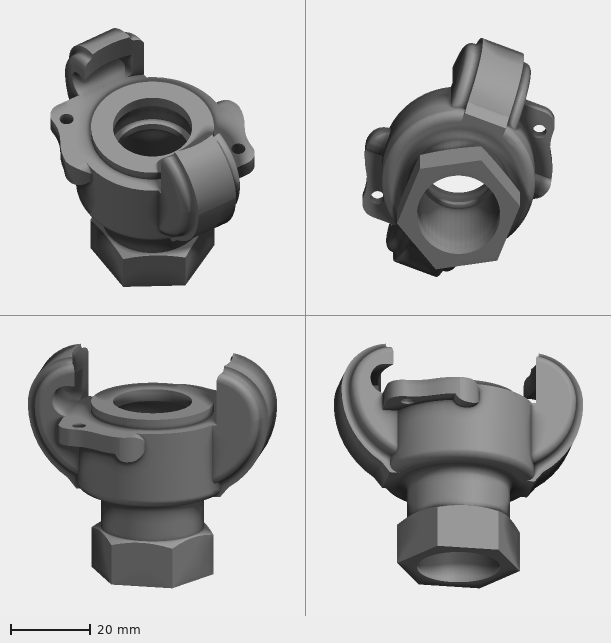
import cadquery as cq
import math

nut_height = 11.8
body_bottom = 22.3
shelf_level = 42.2
ring_top = 44.75
lug_bottom = 37.75

arc_middle = math.sqrt(0.5)

nut_sides = 6
nut_across_flats = 27.2
nut_chamfer_angle = 27.0
neck_diameter = 26.0
neck_fillet = 2.05
body_diameter = 38.6
body_fillet = 2.35
ring_diameter = 31.0

mouth_diameter = 20.0
mouth_depth = 3.1
groove_floor_diameter = 22.0
groove_diameter = 22.4
groove_bottom = 35.65
lip_bottom = 33.7
through_diameter = 18.6
tail_diameter = 21.0

jaw_reach = 30.95
jaw_axis_level = 44.0
jaw_upper_radius = 13.1
jaw_lower_radius = 22.8
shoulder_reach = 28.9
shoulder_upper_radius = 11.65
shoulder_lower_radius = 19.5
jaw_width = 17.7
ridge_width = 11.15
ridge_foot_x = 18.5
ridge_bend_x = 20.7
jaw_root_x = 15.5
ridge_hollow_radius = 1.35
jaw_opening_diameter = 40.6

pocket_height = 8.05
pocket_reach = 24.1
pocket_end_y = 6.25
pocket_corner_radius = 2.1
pocket_floor_fillet = 2.0

lug_side_x = 21.0
lug_corner_radius = 3.95
lug_valley_y = 19.05
lug_inflection = (9.95, 21.15)
lug_span = 47.0
lug_peak = (3.7, lug_span / 2)
lug_nose_radius = 5.9
lug_hole_diameter = 3.5
lug_hole_offset = 15.7
stop_height = 6.5
stop_inner_x = 1.05
stop_outer_x = 1.85


def turned_solid():
    """Neck, body and top ring, revolved about Z."""
    neck_r = neck_diameter / 2
    body_r = body_diameter / 2
    ring_r = ring_diameter / 2
    neck_arc_mid = (
        neck_r + neck_fillet * (1 - arc_middle),
        body_bottom - neck_fillet * (1 - arc_middle),
    )
    body_arc_mid = (
        body_r - body_fillet * (1 - arc_middle),
        body_bottom + body_fillet * (1 - arc_middle),
    )
    return (
        cq.Workplane("XZ")
        .moveTo(0, 0)
        .lineTo(neck_r, 0)
        .lineTo(neck_r, body_bottom - neck_fillet)
        .threePointArc(neck_arc_mid, (neck_r + neck_fillet, body_bottom))
        .lineTo(body_r - body_fillet, body_bottom)
        .threePointArc(body_arc_mid, (body_r, body_bottom + body_fillet))
        .lineTo(body_r, shelf_level)
        .lineTo(ring_r, shelf_level)
        .lineTo(ring_r, ring_top)
        .lineTo(0, ring_top)
        .close()
        .revolve(360, (0, 0, 0), (0, 1, 0))
    )


def nut():
    """Hexagon with corners on the X axis, its upper corners cut by a cone."""
    neck_r = neck_diameter / 2
    corner_diameter = nut_across_flats / math.cos(math.pi / nut_sides)
    hexagon = cq.Workplane("XY").polygon(nut_sides, corner_diameter).extrude(nut_height)
    slope = math.tan(math.radians(nut_chamfer_angle))
    cone_height = neck_r * slope
    base_r = neck_r + nut_height / slope
    cone = (
        cq.Workplane("XZ")
        .moveTo(0, 0)
        .lineTo(base_r, 0)
        .lineTo(0, nut_height + cone_height)
        .close()
        .revolve(360, (0, 0, 0), (0, 1, 0))
    )
    return hexagon.intersect(cone)


def shoulder_section(outer_r):
    """Section of a jaw shoulder in XY: X is minus the distance from the arc axis."""
    half_width = jaw_width / 2
    half_ridge = ridge_width / 2
    valley_y = half_ridge + ridge_hollow_radius
    rim_radius = half_width - valley_y
    hollow_mid = (
        -outer_r - ridge_hollow_radius * (1 - arc_middle),
        valley_y - ridge_hollow_radius * arc_middle,
    )
    rim_mid = (-outer_r + rim_radius * (1 - arc_middle), valley_y + rim_radius * arc_middle)
    return (
        cq.Workplane("XY")
        .moveTo(0, 0)
        .lineTo(-outer_r - ridge_hollow_radius, 0)
        .lineTo(-outer_r - ridge_hollow_radius, half_ridge)
        .threePointArc(hollow_mid, (-outer_r, valley_y))
        .threePointArc(rim_mid, (-outer_r + rim_radius, half_width))
        .lineTo(0, half_width)
        .close()
    )


def shoulders():
    """Both shoulders of the -X jaw: a quarter turn upward and a wider one downward."""
    upper = shoulder_section(shoulder_upper_radius).revolve(90, (0, 0, 0), (0, 1, 0))
    lower = shoulder_section(shoulder_lower_radius).revolve(90, (0, 0, 0), (0, -1, 0))
    upper = upper.translate((shoulder_upper_radius - shoulder_reach, 0, jaw_axis_level))
    lower = lower.translate((shoulder_lower_radius - shoulder_reach, 0, jaw_axis_level))
    half = upper.union(lower)
    return half.union(half.mirror("XZ"))


def ridge():
    """Middle ridge of the -X jaw, from over the body down to a straight foot."""
    upper_x = jaw_upper_radius - jaw_reach
    lower_x = jaw_lower_radius - jaw_reach
    sweep = math.acos((lower_x + ridge_bend_x) / jaw_lower_radius)
    upper_mid = (
        upper_x - jaw_upper_radius * arc_middle,
        jaw_axis_level + jaw_upper_radius * arc_middle,
    )
    lower_mid = (
        lower_x - jaw_lower_radius * math.cos(sweep / 2),
        jaw_axis_level - jaw_lower_radius * math.sin(sweep / 2),
    )
    return (
        cq.Workplane("XZ")
        .moveTo(-jaw_root_x, body_bottom)
        .lineTo(-jaw_root_x, jaw_axis_level + jaw_upper_radius)
        .lineTo(upper_x, jaw_axis_level + jaw_upper_radius)
        .threePointArc(upper_mid, (-jaw_reach, jaw_axis_level))
        .threePointArc(
            lower_mid,
            (-ridge_bend_x, jaw_axis_level - jaw_lower_radius * math.sin(sweep)),
        )
        .lineTo(-ridge_foot_x, body_bottom)
        .close()
        .extrude(ridge_width / 2, both=True)
    )


def jaw():
    """The -X jaw, hollowed for the mating half and with a pocket open on its -Y side."""
    opening = (
        cq.Workplane("XY", origin=(0, 0, shelf_level))
        .circle(jaw_opening_diameter / 2)
        .extrude(ring_top)
    )
    return shoulders().union(ridge()).cut(opening).cut(pocket())


def pocket():
    """Slot along Y with a round side wall, its blind end rounded in plan and at the floor."""
    slot_width = 2 * pocket_reach
    slot_length = jaw_width / 2 + pocket_end_y
    round_slot = (
        cq.Workplane("XZ", origin=(0, pocket_end_y, shelf_level + pocket_height / 2))
        .slot2D(slot_width, pocket_height)
        .extrude(slot_length)
    )
    rounded_end = (
        cq.Workplane("XY", origin=(0, pocket_end_y - slot_length / 2, shelf_level))
        .rect(slot_width, slot_length)
        .extrude(pocket_height)
        .edges("|Z and >Y")
        .fillet(pocket_corner_radius)
        .edges("<Z and >Y")
        .fillet(pocket_floor_fillet)
    )
    return round_slot.intersect(rounded_end)


def lug_plan(bottom, top):
    """Block with the plan outline of the +Y lug."""
    corner_x = lug_side_x - lug_corner_radius
    corner_y = lug_valley_y - lug_corner_radius
    nose_y = lug_peak[1] - lug_nose_radius
    return (
        cq.Workplane("XY", origin=(0, 0, bottom))
        .moveTo(0, 0)
        .lineTo(lug_side_x, 0)
        .lineTo(lug_side_x, corner_y)
        .radiusArc((corner_x, lug_valley_y), -lug_corner_radius)
        .tangentArcPoint(lug_inflection, relative=False)
        .tangentArcPoint(lug_peak, relative=False)
        .threePointArc(
            (lug_peak[0] - lug_nose_radius * arc_middle, nose_y + lug_nose_radius * arc_middle),
            (lug_peak[0] - lug_nose_radius, nose_y),
        )
        .lineTo(lug_peak[0] - lug_nose_radius, 0)
        .close()
        .extrude(top - bottom)
    )


def lug():
    """The +Y lug: a plate ending in a thicker stop with rounded sides, with a round hole."""
    stop_r = stop_height / 2
    stop_bottom = shelf_level - stop_height
    plate_limit = (
        cq.Workplane("XY").box(lug_side_x, lug_side_x * 2, ring_top, centered=False)
        .translate((stop_inner_x, 0, 0))
    )
    plate = lug_plan(lug_bottom, shelf_level).intersect(plate_limit)
    stop_outline = (
        cq.Workplane("XZ", origin=(0, 0, stop_bottom + stop_r))
        .center((stop_inner_x + stop_outer_x) / 2, 0)
        .slot2D(stop_outer_x - stop_inner_x + stop_height, stop_height)
        .extrude(-lug_side_x * 2)
    )
    stop = lug_plan(stop_bottom, shelf_level).intersect(stop_outline)
    hole = (
        cq.Workplane("XY")
        .center(lug_hole_offset, lug_hole_offset)
        .circle(lug_hole_diameter / 2)
        .extrude(ring_top)
    )
    return plate.union(stop).cut(hole)


def bore():
    """Through bore with a mouth, a barrel-shaped seal groove and a wider lower part."""
    mouth_r = mouth_diameter / 2
    floor_r = groove_floor_diameter / 2
    through_r = through_diameter / 2
    tail_r = tail_diameter / 2
    mouth_bottom = ring_top - mouth_depth
    groove_middle = (groove_diameter / 2, (mouth_bottom + groove_bottom) / 2)
    return (
        cq.Workplane("XZ")
        .moveTo(0, 0)
        .lineTo(tail_r, 0)
        .lineTo(tail_r, lip_bottom)
        .lineTo(through_r, lip_bottom)
        .lineTo(through_r, groove_bottom)
        .lineTo(floor_r, groove_bottom)
        .threePointArc(groove_middle, (mouth_r, mouth_bottom))
        .lineTo(mouth_r, ring_top)
        .lineTo(0, ring_top)
        .close()
        .revolve(360, (0, 0, 0), (0, 1, 0))
    )


result = turned_solid().union(nut())
for turn in (0, 180):
    result = result.union(jaw().rotate((0, 0, 0), (0, 0, 1), turn))
    result = result.union(lug().rotate((0, 0, 0), (0, 0, 1), turn))
result = result.cut(bore())